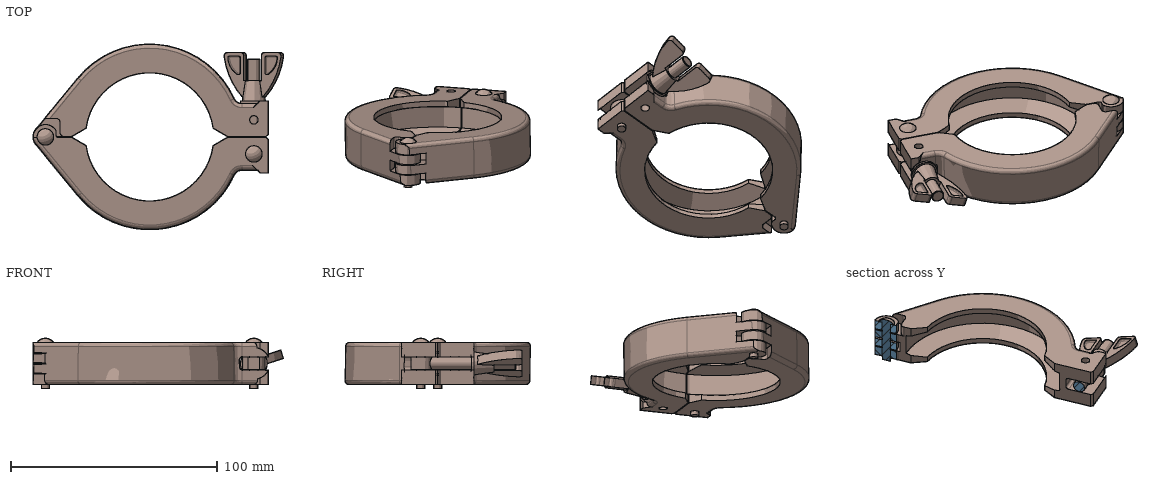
import cadquery as cq
import math

height = 20.5
outer_radius = 45.0
bore_radius = 31.0
split_gap = 0.4
draft = 1.0
edge_fillet = 2.0
pin_x = 50.5
lug_pin_y = 8.25
pin_diameter = 4.0
pin_hole_diameter = 4.1

lip_height = 2.7
groove_radius = 40.2
groove_angle = 15.0
mouth_x = 37.65
mouth_angle = 30.0

knuckle_radius = 6.0
finger_gap = 0.3
finger_split = 5.1
finger_root_x = 5.2
finger_root_radius = 1.0
pocket_depth = 9.0
pocket_back_x = 7.1
pocket_radius = 2.0

lug_x = 57.5
lug_y = 17.5
lug_start_x = 53.5
lug_overlap = 1.0
ledge_y = 16.25
ledge_fillet = 4.0
lug_chamfer = 1.0
spotface_radius = 7.7
slot_width = 6.4
slot_end_x = 43.5
slot_corner_radius = 1.5

head_diameter = 8.0
head_height = 1.98
tail_length = 1.98

bolt_diameter = 6.0
bolt_end_y = 37.8
bolt_chamfer = 0.3
eye_radius = 5.4
eye_flat = 4.6
eye_height = 6.0
washer_diameter = 13.0
washer_hole = 6.4
washer_thickness = 1.2
sleeve_base_radius = 5.6
sleeve_top_radius = 4.2
sleeve_top_y = 27.3
wing_tilt = 18.0
wing_thickness = 4.3
wing_inner = 4.5
wing_outer = 14.4
wing_foot = 5.2
wing_foot_y = 19.3
wing_top_y = 40.9
wing_shoulder_y = 38.5
wing_bulge = (12.05, 30.0)
wing_corner_radius = 1.5
recess_depth = 1.2
recess_floor_radius = 0.5
recess_corner_radius = 0.8
recess_inner = 6.3
recess_outer = 12.6
recess_top_y = 39.1
recess_bulge = (11.2, 33.8)
recess_foot = (7.8, 30.3)

half_height = height / 2
split_y = -split_gap / 2
cos_side = (outer_radius - knuckle_radius) / pin_x
sin_side = math.sqrt(1 - cos_side**2)
margin = 5.0


def prism(outline, bottom, top):
    """Extrude a closed XY outline between two heights."""
    return outline.extrude(top - bottom).translate((0, 0, bottom))


def block(x0, x1, y0, y1, z0, z1):
    return cq.Workplane("XY").box(x1 - x0, y1 - y0, z1 - z0, centered=False).translate((x0, y0, z0))


def outer_body():
    """Drafted outer shape of the lower half, largest at the bottom, with rounded outer edges."""
    radius = outer_radius + edge_fillet * math.tan(math.radians(draft))
    tangent = (-radius * cos_side, -radius * sin_side)
    tip = (-(radius + margin * sin_side) / cos_side, margin)
    blend_y = ledge_y + ledge_fillet
    blend_x = math.sqrt((radius + ledge_fillet) ** 2 - blend_y**2)
    ring_end = (blend_x * radius / (radius + ledge_fillet), -blend_y * radius / (radius + ledge_fillet))
    blend_mid_angle = (math.pi / 2 + math.atan2(blend_y, -blend_x)) / 2
    blend_mid = (
        blend_x + ledge_fillet * math.cos(blend_mid_angle),
        -blend_y + ledge_fillet * math.sin(blend_mid_angle),
    )
    end_x = lug_x + margin
    outline = (
        cq.Workplane("XY")
        .moveTo(*tip)
        .lineTo(*tangent)
        .threePointArc((0, -radius), ring_end)
        .threePointArc(blend_mid, (blend_x, -ledge_y))
        .lineTo(end_x, -ledge_y)
        .lineTo(end_x, margin)
        .close()
    )
    body = outline.extrude(height, taper=draft).translate((0, 0, -half_height))
    rim = body.faces("<Z or >Z").edges().filter(
        lambda edge: edge.Center().y < 0 and edge.Center().x < lug_x
    )
    body = rim.fillet(edge_fillet)
    return body.intersect(block(-2 * outer_radius, lug_x, -2 * outer_radius, split_y, -height, height))


def lug():
    """Thick end of the clamp half: 45 degree flank toward the ledge and round room for the washer."""
    depth = ledge_y - edge_fillet - lug_overlap
    flank_x = lug_start_x - (lug_y - depth)
    outline = cq.Workplane("XY").polyline([
        (lug_x, -lug_y), (lug_start_x, -lug_y), (flank_x, -depth), (lug_x, -depth),
    ]).close()
    spotface = cq.Workplane("XZ", origin=(pin_x, -depth, 0)).circle(spotface_radius).extrude(margin)
    return prism(outline, -half_height, half_height).cut(spotface)


def groove_and_bore():
    flank = (groove_radius - bore_radius) * math.tan(math.radians(groove_angle))
    lip_z = half_height - lip_height
    floor_z = lip_z - flank
    return (
        cq.Workplane("XZ")
        .polyline([
            (0, -half_height), (bore_radius, -half_height), (bore_radius, -lip_z),
            (groove_radius, -floor_z), (groove_radius, floor_z),
            (bore_radius, lip_z), (bore_radius, half_height), (0, half_height),
        ])
        .close()
        .revolve(360, (0, 0, 0), (0, 1, 0))
    )


def mouth():
    """Bevels that open the bore at the split."""
    depth = mouth_x * math.tan(math.radians(mouth_angle))
    outline = cq.Workplane("XY").polyline([
        (-mouth_x, split_y), (mouth_x, split_y), (0, split_y - depth),
    ]).close()
    return prism(outline, -half_height, half_height)


def bolt_slot():
    """Slot for the swing bolt, open at the lug end and at both sides."""
    slot = block(slot_end_x, lug_x + margin, -lug_y - margin, 0, -slot_width / 2, slot_width / 2)
    return slot.edges("|Y and <X").fillet(slot_corner_radius)


def finger(bottom, top):
    """Blank of a hinge finger that reaches across the split, still square around the pin."""
    back_x = -pin_x + finger_root_x
    left_x = -pin_x - 2 * knuckle_radius
    outline = (
        cq.Workplane("XY")
        .moveTo(left_x, split_y)
        .lineTo(left_x, 2 * knuckle_radius)
        .lineTo(back_x, 2 * knuckle_radius)
        .lineTo(back_x, split_y + finger_root_radius)
        .radiusArc((back_x + finger_root_radius, split_y), -finger_root_radius)
        .close()
    )
    return prism(outline, bottom, top)


def knuckle_trim():
    """Everything outside the knuckle circle around the hinge pin."""
    reach = 4 * knuckle_radius
    back_x = -pin_x + finger_root_x
    outside = prism(
        cq.Workplane("XY").polyline([
            (-pin_x, 0),
            (-pin_x - reach * cos_side, -reach * sin_side),
            (-pin_x - reach, reach),
            (back_x, reach),
            (back_x, 0),
        ]).close(),
        -half_height, half_height,
    )
    knuckle = prism(cq.Workplane("XY").center(-pin_x, 0).circle(knuckle_radius), -half_height, half_height)
    return outside.cut(knuckle)


def outer_pocket(bottom, top):
    """Rounded clearance for the outer finger of the other half."""
    back_x = -pin_x + pocket_back_x
    left_x = -pin_x - 2 * knuckle_radius
    outline = (
        cq.Workplane("XY")
        .moveTo(left_x, split_y)
        .lineTo(left_x, -pocket_depth)
        .lineTo(back_x - pocket_radius, -pocket_depth)
        .radiusArc((back_x, -pocket_depth + pocket_radius), -pocket_radius)
        .lineTo(back_x, split_y - pocket_radius)
        .radiusArc((back_x + pocket_radius, split_y), pocket_radius)
        .close()
    )
    return prism(outline, bottom, top)


def inner_pocket(bottom, top):
    return block(-pin_x - 2 * knuckle_radius, -pin_x + pocket_back_x, -pocket_depth, split_y, bottom, top)


def make_half():
    """Lower half; the upper half is the same part turned over about X."""
    half = outer_body().union(lug())
    lug_corner = cq.selectors.NearestToPointSelector((lug_x, split_y, 0))
    half = half.edges(lug_corner).chamfer(lug_chamfer)
    half = half.cut(groove_and_bore()).cut(mouth()).cut(bolt_slot())

    inner_bottom = finger_gap - finger_split
    half = half.cut(inner_pocket(-finger_gap, finger_split))
    half = half.cut(outer_pocket(-half_height, inner_bottom))
    half = half.union(finger(finger_split, half_height))
    half = half.union(finger(inner_bottom, -finger_gap))
    half = half.cut(knuckle_trim())

    holes = prism(
        cq.Workplane("XY").pushPoints([(-pin_x, 0), (pin_x, -lug_pin_y)]).circle(pin_hole_diameter / 2),
        -half_height, half_height,
    )
    return half.cut(holes)


def make_rivet(x, y):
    """Pin through the full height with a domed head on top."""
    shank = prism(
        cq.Workplane("XY").circle(pin_diameter / 2), -half_height - tail_length, half_height
    )
    head_radius = head_diameter / 2
    sphere_radius = (head_radius**2 + head_height**2) / (2 * head_height)
    sphere_z = half_height + head_height - sphere_radius
    sphere = cq.Workplane("XY").sphere(sphere_radius).translate((0, 0, sphere_z))
    above = block(-head_diameter, head_diameter, -head_diameter, head_diameter, half_height, height)
    return shank.union(sphere.intersect(above)).translate((x, y, 0))


def along_bolt(start_y):
    """Workplane across the bolt axis at start_y; a negative extrusion runs toward +Y."""
    return cq.Workplane("XZ", origin=(pin_x, start_y, 0))


def make_bolt():
    shaft = along_bolt(-lug_pin_y).circle(bolt_diameter / 2).extrude(-(bolt_end_y + lug_pin_y))
    shaft = shaft.faces(">Y").chamfer(bolt_chamfer)
    eye = prism(cq.Workplane("XY").circle(eye_radius), -eye_height / 2, eye_height / 2)
    eye = eye.intersect(
        block(-eye_radius, eye_radius, -eye_flat, eye_radius, -eye_height, eye_height)
    )
    hole = prism(cq.Workplane("XY").circle(pin_hole_diameter / 2), -eye_height, eye_height)
    place = (pin_x, -lug_pin_y, 0)
    return shaft.union(eye.translate(place)).cut(hole.translate(place))


def make_washer():
    return (
        along_bolt(ledge_y).circle(washer_diameter / 2).circle(washer_hole / 2).extrude(-washer_thickness)
    )


def wing():
    """Right-hand wing in the XY plane, with the bolt axis on Y."""
    outline = (
        cq.Workplane("XY")
        .moveTo(0, wing_foot_y)
        .lineTo(wing_foot, wing_foot_y)
        .threePointArc(wing_bulge, (wing_outer, wing_shoulder_y))
        .lineTo(wing_outer, wing_top_y)
        .lineTo(wing_inner, wing_top_y)
        .lineTo(wing_inner, sleeve_top_y)
        .lineTo(0, sleeve_top_y)
        .close()
    )
    blade = prism(outline, -wing_thickness / 2, wing_thickness / 2)
    blade = blade.edges("|Z and >Y").fillet(wing_corner_radius)
    recess = (
        cq.Workplane("XY", origin=(0, 0, wing_thickness / 2))
        .moveTo(recess_inner, recess_top_y)
        .lineTo(recess_outer, recess_top_y)
        .threePointArc(recess_bulge, recess_foot)
        .lineTo(recess_inner, recess_foot[1])
        .close()
        .extrude(-recess_depth)
        .edges("|Z")
        .fillet(recess_corner_radius)
        .faces("<Z")
        .edges()
        .fillet(recess_floor_radius)
    )
    return blade.cut(recess)


def make_wing_nut():
    base_y = ledge_y + washer_thickness
    sleeve = (
        cq.Workplane("XY")
        .polyline([
            (0, base_y), (sleeve_base_radius, base_y),
            (sleeve_top_radius, sleeve_top_y), (0, sleeve_top_y),
        ])
        .close()
        .revolve(360, (0, 0, 0), (0, 1, 0))
        .translate((pin_x, 0, 0))
    )
    wings = wing().union(wing().mirror("YZ"))
    wings = wings.rotate((0, 0, 0), (0, 1, 0), -wing_tilt).translate((pin_x, 0, 0))
    bore = along_bolt(base_y).circle(bolt_diameter / 2).extrude(-(wing_top_y - base_y))
    return sleeve.union(wings).cut(bore)


lower_half = make_half()
upper_half = make_half().rotate((0, 0, 0), (1, 0, 0), 180)
rivets = [make_rivet(x, y) for x, y in [(-pin_x, 0), (pin_x, -lug_pin_y)]]
swing_bolt = make_bolt()
washer = make_washer()
wing_nut = make_wing_nut()

result = cq.Compound.makeCompound([
    lower_half.val(),
    upper_half.val(),
    *[rivet.val() for rivet in rivets],
    swing_bolt.val(),
    washer.val(),
    wing_nut.val(),
])